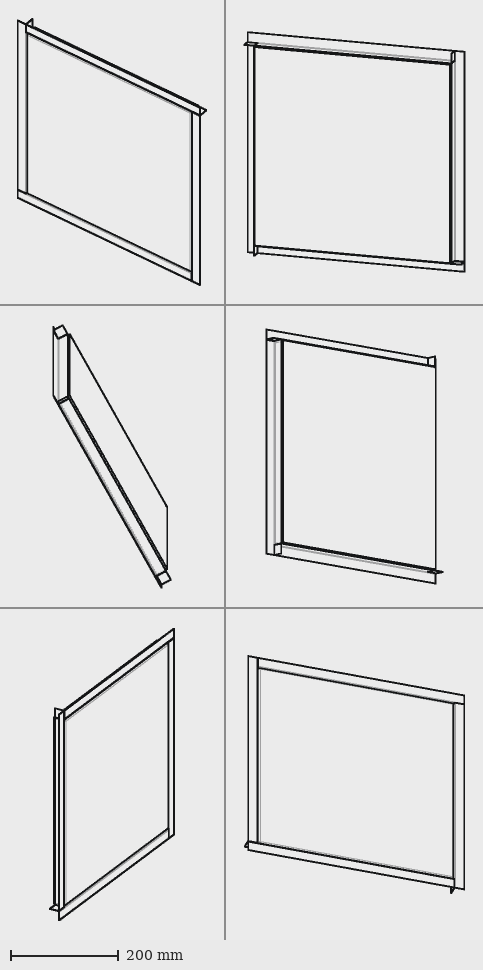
import cadquery as cq

FRAME_SIZE = 424.0
DEPTH = 24.0

ANGLE_COUNT = 4
FLANGE_WIDTH = 19.5
LEG_DEPTH = 20.5
SHEET = 1.0
BEND_RADIUS = 1.3

PANEL_CLEARANCE = 1.3
FRONT_EDGE_RADIUS = 2.5
PANEL_CORNER_RADIUS = 1.5

HALF_FRAME = FRAME_SIZE / 2
OPENING_HALF = HALF_FRAME - FLANGE_WIDTH
PANEL_SIZE = 2 * (OPENING_HALF - PANEL_CLEARANCE)


def angle_profile():
    """L section of the left angle in the XY plane, with a rounded bend."""
    outer_x = -HALF_FRAME
    inner_x = -OPENING_HALF
    bend_x = inner_x - BEND_RADIUS
    inside_radius = BEND_RADIUS - SHEET
    return (
        cq.Workplane("XY")
        .moveTo(outer_x, 0)
        .lineTo(bend_x, 0)
        .radiusArc((inner_x, BEND_RADIUS), -BEND_RADIUS)
        .lineTo(inner_x, LEG_DEPTH)
        .lineTo(inner_x - SHEET, LEG_DEPTH)
        .lineTo(inner_x - SHEET, BEND_RADIUS)
        .radiusArc((bend_x, SHEET), inside_radius)
        .lineTo(outer_x, SHEET)
        .close()
    )


def make_edge_angle(turn):
    """One edge angle, swung by `turn` degrees about the Y axis.

    The left angle runs from the leg of the bottom angle to the top of the
    frame, so the four angles follow each other round like a pinwheel.
    """
    length = HALF_FRAME + OPENING_HALF
    bar = angle_profile().extrude(length).translate((0, 0, -OPENING_HALF))
    return bar.rotate((0, 0, 0), (0, 1, 0), turn)


def make_panel(front, back):
    """Square panel between two Y positions, with rounded corners."""
    thickness = back - front
    panel = cq.Workplane("XY").box(PANEL_SIZE, thickness, PANEL_SIZE)
    panel = panel.translate((0, front + thickness / 2, 0))
    return panel.edges("|Y").fillet(PANEL_CORNER_RADIUS)


def make_front_panel():
    """Panel that fills the frame, its front flush with the flanges."""
    return make_panel(0, LEG_DEPTH).faces("<Y").edges().fillet(FRONT_EDGE_RADIUS)


def make_back_panel():
    """Plate on the back of the front panel, standing out behind the legs."""
    return make_panel(LEG_DEPTH, DEPTH)


edge_angles = [make_edge_angle(i * 360 / ANGLE_COUNT) for i in range(ANGLE_COUNT)]
front_panel = make_front_panel()
back_panel = make_back_panel()

result = cq.Compound.makeCompound(
    [*(angle.val() for angle in edge_angles), front_panel.val(), back_panel.val()]
)